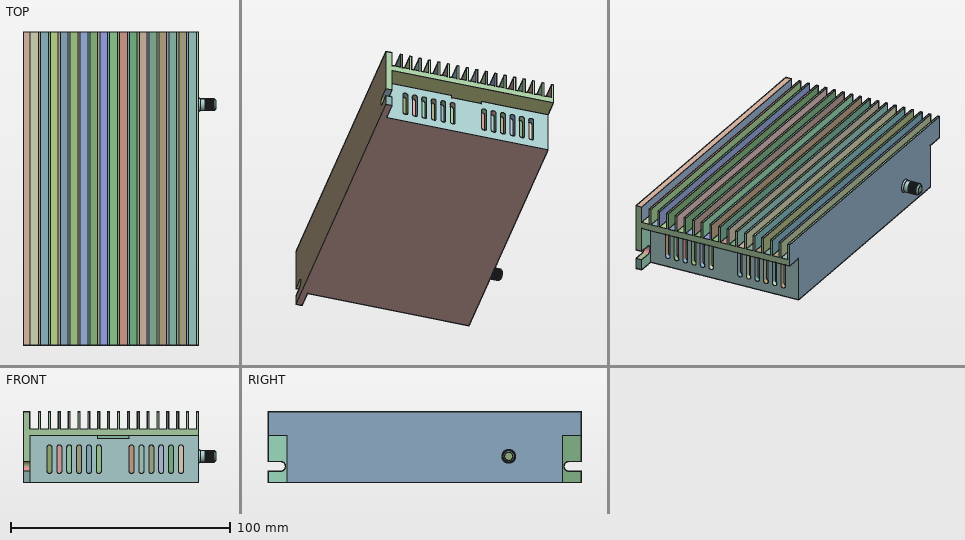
import cadquery as cq

length = 143.0
body_width = 80.0
height = 32.5
total_width = 88.0

wall_thickness = 3.0
plate_bottom = 21.5
plate_top = 24.6
fin_thickness = 1.0
fin_pitch = 4.5
fin_count = 17

notch_width = 4.3
notch_depth = 7.9
notch_height = 7.5
notch_corner_radius = 2.0

housing_inset = 8.6
recess_center = 41.0
recess_width = 14.3
recess_height = 1.3
cut_depth = 2.9

slot_width = 2.3
slot_length = 13.0
slot_height = 10.7
slot_pitch = 4.5
slots_per_group = 6
slot_group_spacing = 37.5
slot_row_center = 41.9

connector_y = 38.3
connector_height = 12.0
collar_radius = 3.1
collar_length = 0.9
barrel_radius = 2.7
barrel_chamfer = 0.9
thread_start = 82.8
thread_pitch = 0.6
thread_depth = 0.1
thread_crest = 0.1
thread_count = 7

housing_length = length - 2 * housing_inset


def block(x_min, x_max, y_length, z_min, z_max):
    """Box centred on the Y origin."""
    return (
        cq.Workplane("XY")
        .box(x_max - x_min, y_length, z_max - z_min, centered=(False, True, False))
        .translate((x_min, 0, z_min))
    )


def make_heat_sink():
    """Side wall, plate and upright fins; the last fin is flush with the plate edge."""
    sink = block(0, wall_thickness, length, 0, height)
    sink = sink.union(block(0, body_width, length, plate_bottom, plate_top))
    for index in range(fin_count):
        fin_right = body_width - index * fin_pitch
        sink = sink.union(block(fin_right - fin_thickness, fin_right, length, plate_bottom, height))
    return sink


def make_notches():
    """Round-cornered notches, open at the two ends of the side wall."""
    return (
        cq.Workplane("YZ")
        .pushPoints([(-length / 2, notch_height), (length / 2, notch_height)])
        .rect(2 * notch_depth, notch_width)
        .extrude(wall_thickness)
        .edges("|X")
        .fillet(notch_corner_radius)
    )


def make_housing():
    """Housing with a shallow recess in its -Y end face, right under the plate."""
    housing = block(wall_thickness, body_width, housing_length, 0, plate_bottom)
    recess = block(
        recess_center - recess_width / 2,
        recess_center + recess_width / 2,
        2 * cut_depth,
        plate_bottom - recess_height,
        plate_bottom,
    ).translate((0, -housing_length / 2, 0))
    return housing.cut(recess)


def make_vent_slots():
    """Two groups of upright slots cut into the -Y end face of the housing."""
    centers = []
    for side in (-1, 1):
        group_center = slot_row_center + side * slot_group_spacing / 2
        for index in range(slots_per_group):
            offset = (index - (slots_per_group - 1) / 2) * slot_pitch
            centers.append((group_center + offset, slot_height))
    return (
        cq.Workplane("XZ", origin=(0, -housing_length / 2, 0))
        .pushPoints(centers)
        .slot2D(slot_length, slot_width, 90)
        .extrude(-cut_depth)
    )


def make_connector():
    """Round connector on the +X side, with ring grooves standing in for its thread."""
    collar_end = body_width + collar_length
    profile = (
        cq.Workplane("XY")
        .moveTo(body_width, 0)
        .lineTo(body_width, collar_radius)
        .lineTo(collar_end, barrel_radius)
    )
    for index in range(thread_count):
        groove_start = thread_start + index * thread_pitch
        profile = (
            profile.lineTo(groove_start + thread_crest, barrel_radius)
            .lineTo(groove_start + (thread_crest + thread_pitch) / 2, barrel_radius - thread_depth)
            .lineTo(groove_start + thread_pitch, barrel_radius)
        )
    profile = (
        profile.lineTo(total_width - barrel_chamfer, barrel_radius)
        .lineTo(total_width, barrel_radius - barrel_chamfer)
        .lineTo(total_width, 0)
        .close()
    )
    return profile.revolve(360, (0, 0, 0), (1, 0, 0)).translate((0, connector_y, connector_height))


result = make_heat_sink().cut(make_notches()).union(make_housing())
result = result.cut(make_vent_slots()).union(make_connector())